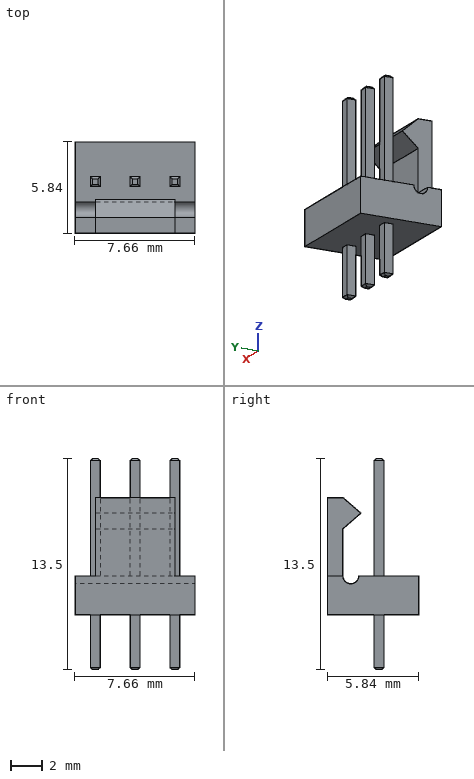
import cadquery as cq

PIN_COUNT = 3
PITCH = 2.54
PIN_ROW_LENGTH = (PIN_COUNT - 1) * PITCH
PIN_WIDTH = 0.64
PIN_ABOVE = 7.5
PIN_BELOW = 3.5
TIP_CHAMFER = 0.15

BASE_LENGTH = 7.66
BASE_DEPTH = 5.84
BASE_HEIGHT = 2.5
PIN_TO_FRONT = 3.3
FRONT_Y = -PIN_TO_FRONT

WALL_LENGTH = PIN_ROW_LENGTH
WALL_THICKNESS = 1.0
WALL_HEIGHT = 5.0
HOOK_REACH = 1.15
HOOK_HEIGHT = 2.0

GROOVE_RADIUS = 0.5

WALL_BACK_Y = FRONT_Y + WALL_THICKNESS
WALL_TOP_Z = BASE_HEIGHT + WALL_HEIGHT


def make_base():
    """Rectangular block with the relief groove along its full length."""
    block = cq.Workplane("XY").box(BASE_LENGTH, BASE_DEPTH, BASE_HEIGHT, centered=(True, False, False))
    block = block.translate((0, FRONT_Y, 0))
    groove = (
        cq.Workplane("YZ")
        .center(WALL_BACK_Y + GROOVE_RADIUS, BASE_HEIGHT)
        .circle(GROOVE_RADIUS)
        .extrude(BASE_LENGTH / 2, both=True)
    )
    return block.cut(groove)


def make_wall():
    """Locking wall and its hook, extruded along X from one YZ profile."""
    profile = [
        (FRONT_Y, BASE_HEIGHT),
        (FRONT_Y, WALL_TOP_Z),
        (WALL_BACK_Y, WALL_TOP_Z),
        (WALL_BACK_Y + HOOK_REACH, WALL_TOP_Z - HOOK_HEIGHT / 2),
        (WALL_BACK_Y, WALL_TOP_Z - HOOK_HEIGHT),
        (WALL_BACK_Y, BASE_HEIGHT),
    ]
    return cq.Workplane("YZ").polyline(profile).close().extrude(WALL_LENGTH / 2, both=True)


def make_pin(x):
    """Square pin through the base, with both ends bevelled."""
    length = PIN_BELOW + BASE_HEIGHT + PIN_ABOVE
    pin = cq.Workplane("XY").box(PIN_WIDTH, PIN_WIDTH, length, centered=(True, True, False))
    pin = pin.faces("<Z or >Z").chamfer(TIP_CHAMFER)
    return pin.translate((x, 0, -PIN_BELOW))


result = make_base().union(make_wall())
for index in range(PIN_COUNT):
    pin_x = index * PITCH - PIN_ROW_LENGTH / 2
    result = result.union(make_pin(pin_x))